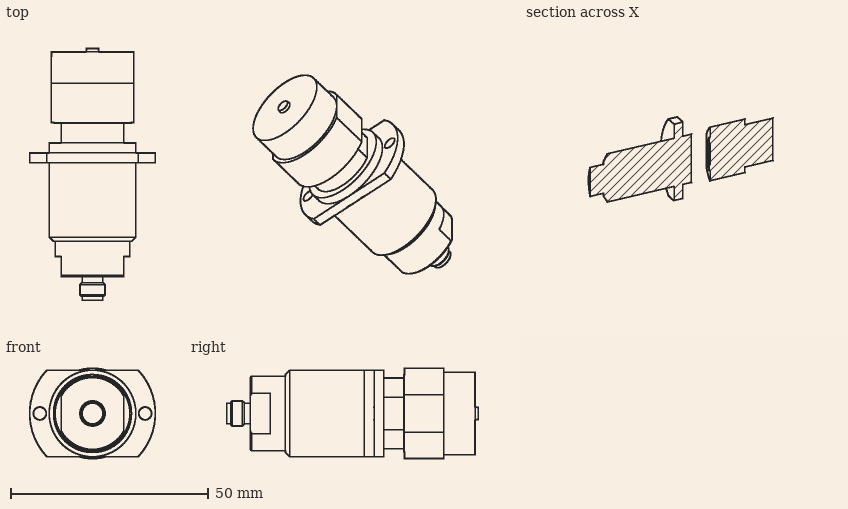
import cadquery as cq

tip_y = 0.0
ring_front_y = 1.0
ring_back_y = 4.55
nose_front_y = 6.0
nose_flat_end_y = 11.1
sleeve_front_y = 14.95
flange_front_y = 34.9
flange_back_y = 37.45
sleeve_back_y = 39.95
collar_front_y = 44.9
nut_front_y = 45.1
nut_back_y = 55.15
barrel_back_y = 63.1
pin_end_y = 63.9

stub_dia = 5.3
ring_dia = 6.4
nose_dia = 19.0
sleeve_dia = 22.0
neck_dia = 18.0
collar_dia = 19.55
nut_dia = 23.0
barrel_dia = 20.95
pin_base_dia = 3.3
pin_end_dia = 3.05

nose_flat_width = 16.0
neck_flat_width = 16.0
nut_flat_width = barrel_dia

ring_front_chamfer = 0.4
ring_back_chamfer = 0.5
nose_chamfer = 0.4
sleeve_chamfer = 1.1

flange_dia = 31.95
flange_height = sleeve_dia
hole_dia = 3.2
hole_spacing = 26.7


def cylinder(diameter, start_y, end_y):
    """Round stage on the Y axis between two stations."""
    plane = cq.Workplane("XZ", origin=(0, start_y, 0))
    return plane.circle(diameter / 2).extrude(start_y - end_y)


def flat_sided(stage, width, start_y, end_y):
    """Trim a stage to a width in X between two stations."""
    length = end_y - start_y
    middle_y = (start_y + end_y) / 2
    envelope = cq.Workplane("XY").box(nut_dia, length, nut_dia).translate((0, middle_y, 0))
    slab = cq.Workplane("XY").box(width, length, nut_dia).translate((0, middle_y, 0))
    return stage.cut(envelope.cut(slab))


def make_small_connector():
    """Slim stub carrying a ring with bevelled edges."""
    stub = cylinder(stub_dia, tip_y, nose_front_y)
    ring = cylinder(ring_dia, ring_front_y, ring_back_y)
    ring = ring.faces("<Y").chamfer(ring_front_chamfer)
    ring = ring.faces(">Y").chamfer(ring_back_chamfer)
    return stub.union(ring)


def make_nose():
    """Chamfered round nose with a pair of flats at its front end."""
    nose = cylinder(nose_dia, nose_front_y, sleeve_front_y)
    nose = nose.faces("<Y").chamfer(nose_chamfer)
    return flat_sided(nose, nose_flat_width, nose_front_y, nose_flat_end_y)


def make_sleeve():
    """Main round sleeve, bevelled at the front."""
    sleeve = cylinder(sleeve_dia, sleeve_front_y, sleeve_back_y)
    return sleeve.faces("<Y").chamfer(sleeve_chamfer)


def make_flange():
    """Round plate cut level with the sleeve above and below, with two holes."""
    thickness = flange_back_y - flange_front_y
    middle_y = (flange_front_y + flange_back_y) / 2
    band = cq.Workplane("XY").box(flange_dia, thickness, flange_height).translate((0, middle_y, 0))
    flange = cylinder(flange_dia, flange_front_y, flange_back_y).intersect(band)
    hole = cylinder(hole_dia, flange_front_y, flange_back_y)
    for side in (-1, 1):
        flange = flange.cut(hole.translate((side * hole_spacing / 2, 0, 0)))
    return flange


def make_neck():
    """Round neck with a pair of flats along its full length."""
    neck = cylinder(neck_dia, sleeve_back_y, nut_front_y)
    return flat_sided(neck, neck_flat_width, sleeve_back_y, nut_front_y)


def make_nut():
    """Nut with two flats and a thin raised ring around the neck."""
    nut = cylinder(nut_dia, nut_front_y, nut_back_y)
    nut = flat_sided(nut, nut_flat_width, nut_front_y, nut_back_y)
    collar = cylinder(collar_dia, collar_front_y, nut_front_y)
    bore = cylinder(neck_dia, collar_front_y, nut_front_y)
    return nut.union(collar.cut(bore))


def make_barrel():
    """Plain round barrel with a short tapered pin on its back face."""
    barrel = cylinder(barrel_dia, nut_back_y, barrel_back_y)
    pin = cq.Solid.makeCone(
        pin_base_dia / 2,
        pin_end_dia / 2,
        pin_end_y - barrel_back_y,
        pnt=cq.Vector(0, barrel_back_y, 0),
        dir=cq.Vector(0, 1, 0),
    )
    return barrel.union(cq.Workplane("XY").add(pin))


result = make_small_connector()
for section in (make_nose(), make_sleeve(), make_flange(), make_neck(), make_nut(), make_barrel()):
    result = result.union(section)